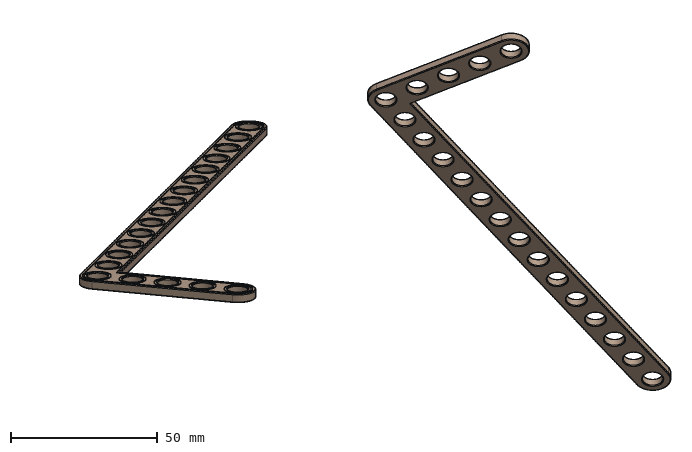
import cadquery as cq

pitch = 12.5
long_arm_holes = 15
short_arm_holes = 5
thickness = pitch / 4
hole_diameter = 7.0
collar_diameter = 9.2
rim_width = (collar_diameter - hole_diameter) / 2
recess_depth = 0.2
edge_chamfer = 0.3

arm_radius = pitch / 2
long_arm_length = (long_arm_holes - 1) * pitch
short_arm_length = (short_arm_holes - 1) * pitch
recess_floor = thickness - recess_depth

hole_centers = [(0, row * pitch) for row in range(long_arm_holes)]
hole_centers += [(column * pitch, 0) for column in range(1, short_arm_holes)]


def angle_plate(radius, bottom, height):
    """L-shaped plate: round arm ends, round outer corner, sharp inner corner."""
    return (
        cq.Workplane("XY", origin=(0, 0, bottom))
        .moveTo(0, -radius)
        .lineTo(short_arm_length, -radius)
        .threePointArc((short_arm_length + radius, 0), (short_arm_length, radius))
        .lineTo(radius, radius)
        .lineTo(radius, long_arm_length)
        .threePointArc((0, long_arm_length + radius), (-radius, long_arm_length))
        .lineTo(-radius, 0)
        .radiusArc((0, -radius), -radius)
        .close()
        .extrude(height)
    )


def cylinders(diameter, bottom, height):
    """One upright cylinder at every hole position."""
    return (
        cq.Workplane("XY", origin=(0, 0, bottom))
        .pushPoints(hole_centers)
        .circle(diameter / 2)
        .extrude(height)
    )


holes = cylinders(hole_diameter, 0, thickness)
body = angle_plate(arm_radius, 0, thickness).cut(holes)
body = body.faces("<Z or >Z").edges().chamfer(edge_chamfer)

recess = angle_plate(arm_radius - rim_width, recess_floor, recess_depth)
collars = cylinders(collar_diameter, recess_floor, recess_depth)

result = body.cut(recess.cut(collars))